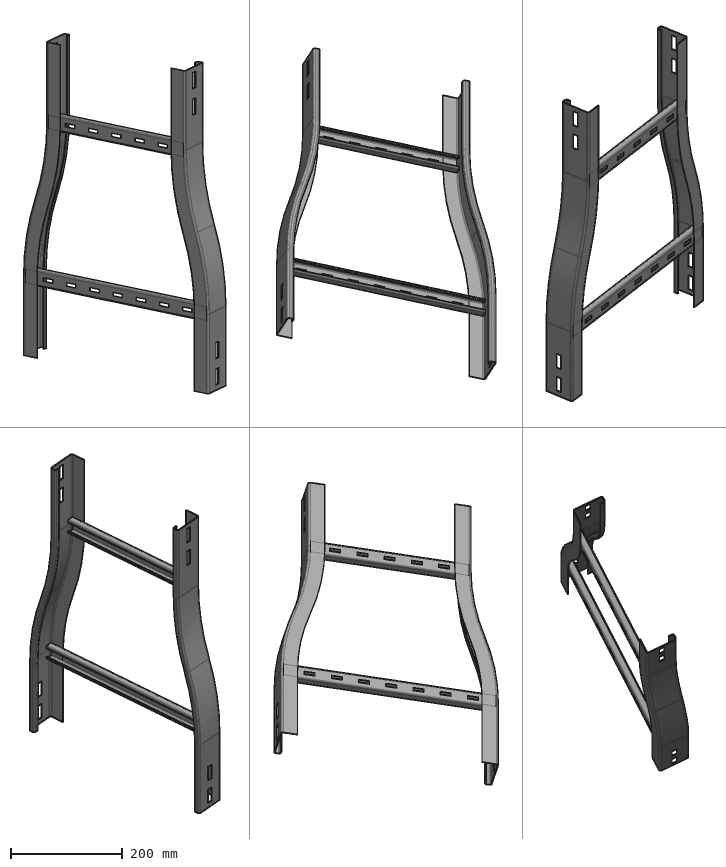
import cadquery as cq
import math

LENGTH = 600.0
DEPTH = 60.0
LOWER_WIDTH = 400.0
UPPER_WIDTH = 300.0
SHEET = 2.0

FRONT_FLANGE = 30.5
BACK_FLANGE = 13.0
BACK_LIP = 10.0
RAIL_BEND = 4.0
STRAIGHT = LENGTH / 4

RAIL_SLOT_LENGTH = 30.0
RAIL_SLOT_WIDTH = 9.5
RAIL_SLOT_FROM_END = (25.0, 75.0)

RUNG_HEIGHT = 30.0
RUNG_DEPTH = 15.0
RUNG_LIP = 6.0
RUNG_BEND = 2.5
RUNG_END_GAP = 5.0
RUNG_SLOT_LENGTH = 20.0
RUNG_SLOT_WIDTH = 6.5
LOWER_SLOT_SHIFT = 3.0

RAIL_SHIFT = (LOWER_WIDTH - UPPER_WIDTH) / 2
ARC_RISE = LENGTH / 2 - STRAIGHT
ARC_SHIFT = RAIL_SHIFT / 2
ARC_RADIUS = (ARC_RISE**2 + ARC_SHIFT**2) / (2 * ARC_SHIFT)
HALF_ARC_ANGLE = math.asin(ARC_RISE / ARC_RADIUS) / 2
HALF_ARC_RISE = ARC_RADIUS * math.sin(HALF_ARC_ANGLE)
HALF_ARC_SHIFT = ARC_RADIUS * (1 - math.cos(HALF_ARC_ANGLE))


def rail_path():
    """Outer web line of the left rail, from bottom to top."""
    lower_x = -LOWER_WIDTH / 2
    upper_x = -UPPER_WIDTH / 2
    return (
        cq.Workplane("XZ")
        .moveTo(lower_x, 0)
        .lineTo(lower_x, STRAIGHT)
        .threePointArc(
            (lower_x + HALF_ARC_SHIFT, STRAIGHT + HALF_ARC_RISE),
            (lower_x + ARC_SHIFT, LENGTH / 2),
        )
        .threePointArc(
            (upper_x - HALF_ARC_SHIFT, LENGTH - STRAIGHT - HALF_ARC_RISE),
            (upper_x, LENGTH - STRAIGHT),
        )
        .lineTo(upper_x, LENGTH)
    )


def rail_blank():
    """Swept left rail without slots."""
    outside = -LOWER_WIDTH / 2
    front = -DEPTH / 2
    back = DEPTH / 2
    lip_outside = outside + BACK_FLANGE
    lip_end = back - BACK_LIP
    outer_mid = RAIL_BEND * (1 - math.sqrt(0.5))
    inner_mid = SHEET + (RAIL_BEND - SHEET) * (1 - math.sqrt(0.5))
    section = (
        cq.Workplane("XY")
        .moveTo(outside + FRONT_FLANGE, front)
        .lineTo(outside + RAIL_BEND, front)
        .threePointArc((outside + outer_mid, front + outer_mid), (outside, front + RAIL_BEND))
        .lineTo(outside, back - RAIL_BEND)
        .threePointArc((outside + outer_mid, back - outer_mid), (outside + RAIL_BEND, back))
        .lineTo(lip_outside - RAIL_BEND, back)
        .threePointArc((lip_outside - outer_mid, back - outer_mid), (lip_outside, back - RAIL_BEND))
        .lineTo(lip_outside, lip_end)
        .lineTo(lip_outside - SHEET, lip_end)
        .lineTo(lip_outside - SHEET, back - RAIL_BEND)
        .threePointArc(
            (lip_outside - inner_mid, back - inner_mid),
            (lip_outside - RAIL_BEND, back - SHEET),
        )
        .lineTo(outside + RAIL_BEND, back - SHEET)
        .threePointArc(
            (outside + inner_mid, back - inner_mid),
            (outside + SHEET, back - RAIL_BEND),
        )
        .lineTo(outside + SHEET, front + RAIL_BEND)
        .threePointArc(
            (outside + inner_mid, front + inner_mid),
            (outside + RAIL_BEND, front + SHEET),
        )
        .lineTo(outside + FRONT_FLANGE, front + SHEET)
        .close()
    )
    return section.sweep(rail_path())


def rail_slot_cutters():
    """Slots through the web, mirrored about mid-length; clear of the back lip."""
    heights = [*RAIL_SLOT_FROM_END, *(LENGTH - z for z in RAIL_SLOT_FROM_END)]
    return (
        cq.Workplane("YZ", origin=(-LOWER_WIDTH / 2, 0, 0))
        .pushPoints([(0, z) for z in heights])
        .rect(RAIL_SLOT_WIDTH, RAIL_SLOT_LENGTH)
        .extrude(LOWER_WIDTH / 2)
    )


def side_rail(side):
    """Rail on the left (side = -1) or, mirrored, on the right (side = 1)."""
    left_rail = rail_blank().cut(rail_slot_cutters())
    return left_rail if side < 0 else left_rail.mirror("YZ")


def rung(outer_width, height, slot_count, slot_span, slot_shift):
    """Channel rung centred at the given height, open to the back, with slots in its web."""
    length = outer_width - 2 * RUNG_END_GAP
    front = -DEPTH / 2 + SHEET
    centre = (0, front + RUNG_DEPTH / 2, height)
    body = (
        cq.Workplane("XY", origin=centre)
        .box(length, RUNG_DEPTH, RUNG_HEIGHT)
        .edges("|X")
        .fillet(RUNG_BEND)
    )
    hollow = (
        cq.Workplane("XY", origin=centre)
        .box(length, RUNG_DEPTH - 2 * SHEET, RUNG_HEIGHT - 2 * SHEET)
        .edges("|X")
        .fillet(RUNG_BEND - SHEET)
    )
    back_opening = (
        cq.Workplane("XY", origin=(0, front + RUNG_DEPTH, height))
        .box(length, 2 * SHEET, RUNG_HEIGHT - 2 * RUNG_LIP)
    )
    slot_pitch = slot_span / (slot_count - 1)
    slots = (
        cq.Workplane("XZ", origin=(slot_shift, front + SHEET, height))
        .rarray(slot_pitch, 6, slot_count, 1)
        .rect(RUNG_SLOT_LENGTH, RUNG_SLOT_WIDTH)
        .extrude(SHEET)
    )
    return body.cut(hollow).cut(back_opening).cut(slots)


rails = [side_rail(side) for side in (-1, 1)]

rung_layout = [
    (LOWER_WIDTH, STRAIGHT, 7, 300.0, LOWER_SLOT_SHIFT),
    (UPPER_WIDTH, LENGTH - STRAIGHT, 5, 200.0, 0.0),
]
rungs = [rung(*layout) for layout in rung_layout]

result = cq.Compound.makeCompound([body.val() for body in rails + rungs])